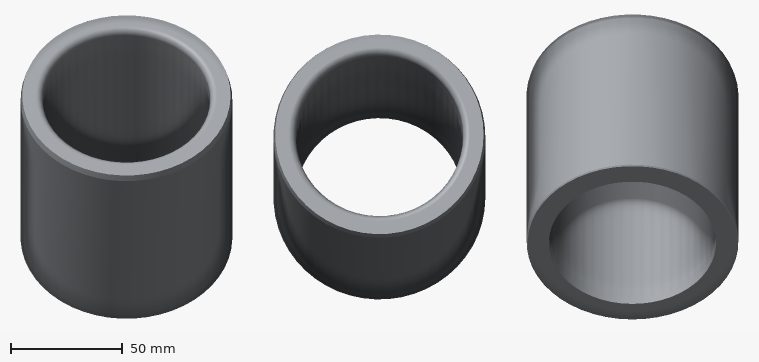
import cadquery as cq

length = 100.0
outer_diameter = 95.0
bore_diameter = 75.0
lead_in_height = 3.0
lead_in_inset = 0.8
bore_round = 3.0
bottom_chamfer = 0.5

outer_radius = outer_diameter / 2
bore_radius = bore_diameter / 2

round_offset = bore_round * (1 - 0.5 ** 0.5)
round_middle = (bore_radius + round_offset, length - round_offset)

wall_section = (
    cq.Workplane("XZ")
    .moveTo(bore_radius, 0)
    .lineTo(outer_radius - bottom_chamfer, 0)
    .lineTo(outer_radius, bottom_chamfer)
    .lineTo(outer_radius, length - lead_in_height)
    .lineTo(outer_radius - lead_in_inset, length)
    .lineTo(bore_radius + bore_round, length)
    .threePointArc(round_middle, (bore_radius, length - bore_round))
    .close()
)

result = wall_section.revolve(360, (0, 0, 0), (0, 1, 0))